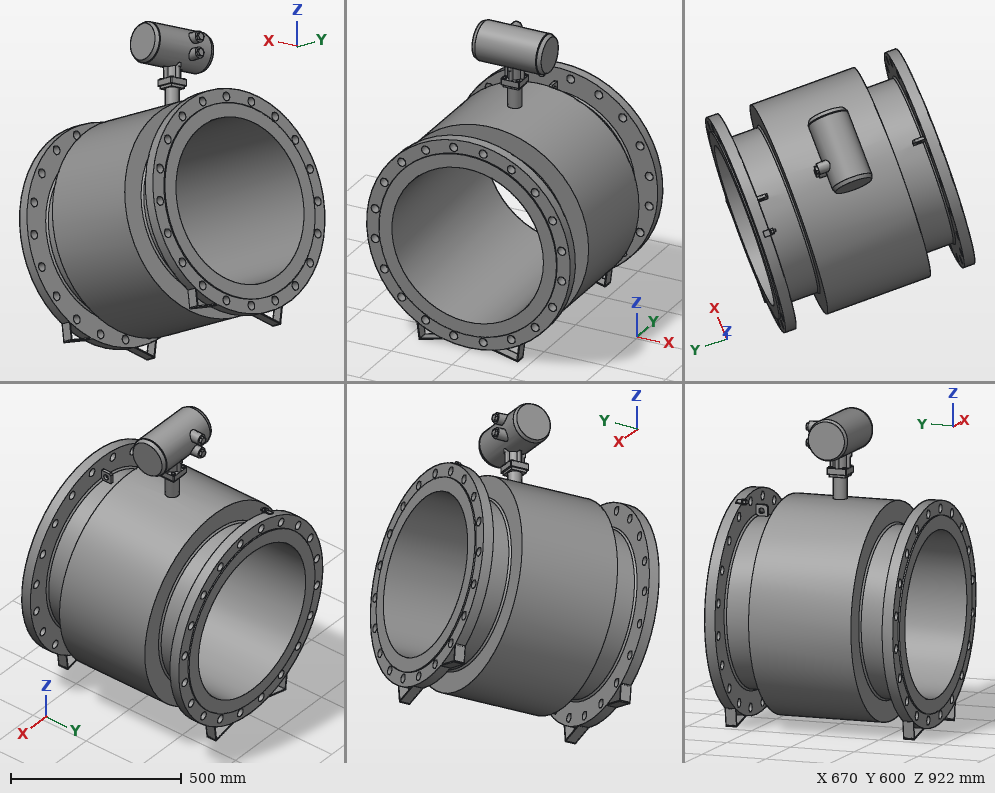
import cadquery as cq
import math


bore_diameter = 499.0
neck_diameter = 514.0
casing_diameter = 652.0
casing_length = 321.0
flange_diameter = 670.0
flange_thickness = 33.0
raised_face_diameter = 585.0
raised_face_height = 5.0
overall_length = 600.0
weld_leg = 5.5

bolt_count = 20
bolt_hole_diameter = 26.0
bolt_circle_diameter = 621.0

flange_outer_y = overall_length / 2 - raised_face_height
flange_inner_y = flange_outer_y - flange_thickness
flange_radius = flange_diameter / 2
neck_radius = neck_diameter / 2

lug_length = 35.0
lug_top_z = 290.0
lug_thickness = 9.0
lug_chamfer = 5.5
lug_hole_diameter = 17.0
lug_hole_offset = 17.0
lug_hole_z = 272.0

foot_thickness = 4.0
foot_wall_top = (170.0, -288.0)
foot_corner = (162.0, -345.0)
foot_base_end = (81.0, -325.5)

post_diameter = 42.0
post_embedment = 9.0
collar_width = 51.0
collar_bottom_z = 392.0
plate_width = 62.0
plate_bottom_z = 400.0
plate_top_z = 419.0
plate_corner_chamfer = 3.0
plate_screw_offset = 22.0
plate_screw_diameter = 11.0
plate_screw_height = 3.0
rib_thickness = 9.0
rib_edge_radius = 3.0
rib_flare_z = 446.0
rib_flare = 5.0
rib_flare_height = 6.0
rib_top_z = 470.0

housing_z = 515.0
housing_radius = 62.0
housing_left_x = -112.0
left_cone_end_x = -100.0
right_cone_start_x = 103.0
right_cone_end_x = 112.0
housing_right_x = 115.0
left_face_radius = 113.0 / 2
right_shoulder_radius = 57.0
right_face_radius = 110.0 / 2
groove_width = 3.0
groove_depth = 1.0

gland_x = -34.0
gland_spacing = 48.0
gland_end_y = 82.0
gland_end_diameter = 33.0
gland_root_diameter = 39.0
plug_across_corners = 23.0
plug_length = 8.0

terminal_angle = 19.8
terminal_radius = 336.5
terminal_tab_width = 18.0
terminal_tab_thickness = 4.0
terminal_tab_length = 18.0
terminal_washer_diameter = 18.0
terminal_washer_thickness = 4.0
terminal_nut_across_corners = 17.0
terminal_nut_length = 8.0
terminal_stud_diameter = 8.0
terminal_stud_length = 18.0


def cylinder_y(diameter, start_y, end_y, z):
    """Cylinder along Y between two Y positions."""
    length = end_y - start_y
    return cq.Workplane("XZ", origin=(0, start_y, z)).circle(diameter / 2).extrude(-length)


def box_between(width, bottom_z, top_z):
    """Square column centred on the Z axis."""
    return cq.Workplane("XY", origin=(0, 0, bottom_z)).rect(width, width).extrude(top_z - bottom_z)


def both_ends(shape):
    return shape.union(shape.mirror("XZ"))


def strip(start, end):
    """Flat strip as wide as the flange, its outer face running from start to end in XZ.

    The thickness lies to the right of the run as seen from -Y, which is the side of the pipe.
    """
    run_x = end[0] - start[0]
    run_z = end[1] - start[1]
    scale = foot_thickness / math.hypot(run_x, run_z)
    inward = (run_z * scale, -run_x * scale)
    outline = [
        start,
        end,
        (end[0] + inward[0], end[1] + inward[1]),
        (start[0] + inward[0], start[1] + inward[1]),
    ]
    return cq.Workplane("XZ").polyline(outline).close().extrude(flange_thickness / 2, both=True)


def make_meter_body():
    """Full wall section turned about the Y axis; the front half mirrors the back half."""
    casing_end_y = casing_length / 2
    back_half = [
        (casing_diameter / 2, casing_end_y),
        (neck_radius + weld_leg, casing_end_y),
        (neck_radius, casing_end_y + weld_leg),
        (neck_radius, flange_inner_y - weld_leg),
        (neck_radius + weld_leg, flange_inner_y),
        (flange_radius, flange_inner_y),
        (flange_radius, flange_outer_y),
        (raised_face_diameter / 2, flange_outer_y),
        (raised_face_diameter / 2, overall_length / 2),
        (bore_diameter / 2, overall_length / 2),
    ]
    front_half = [(radius, -y) for radius, y in reversed(back_half)]
    wall = cq.Workplane("XY").polyline(back_half + front_half).close()
    return wall.revolve(360, (0, 0, 0), (0, 1, 0))


def make_bolt_holes():
    pitch = 360 / bolt_count
    holes = (
        cq.Workplane("XZ", origin=(0, flange_outer_y, 0))
        .polarArray(bolt_circle_diameter / 2, pitch / 2, 360, bolt_count)
        .circle(bolt_hole_diameter / 2)
        .extrude(flange_thickness)
    )
    return both_ends(holes)


def make_lugs():
    root_z = (bore_diameter + neck_diameter) / 4
    free_y = flange_inner_y - lug_length
    lug = (
        cq.Workplane("YZ")
        .moveTo(flange_inner_y, root_z)
        .lineTo(flange_inner_y, lug_top_z)
        .lineTo(free_y + lug_chamfer, lug_top_z)
        .lineTo(free_y, lug_top_z - lug_chamfer)
        .lineTo(free_y, root_z)
        .close()
        .extrude(lug_thickness / 2, both=True)
    )
    hole = (
        cq.Workplane("YZ", origin=(0, flange_inner_y - lug_hole_offset, lug_hole_z))
        .circle(lug_hole_diameter / 2)
        .extrude(lug_thickness, both=True)
    )
    return both_ends(lug.cut(hole))


def make_feet():
    """Two bent strips under each flange, with both ends running into its rim."""
    depth_y = flange_outer_y - flange_thickness / 2
    foot = strip(foot_wall_top, foot_corner).union(strip(foot_corner, foot_base_end))
    foot = foot.translate((0, depth_y, 0))
    return both_ends(foot.union(foot.mirror("YZ")))


def make_rib():
    """Rib on the +X side, rounded along its outer edge and flaring out under the housing."""
    foot_x = plate_width / 2
    rib = (
        cq.Workplane("XZ")
        .moveTo(0, plate_bottom_z)
        .lineTo(foot_x, plate_bottom_z)
        .lineTo(foot_x, rib_flare_z)
        .tangentArcPoint((foot_x + rib_flare, rib_flare_z + rib_flare_height), relative=False)
        .lineTo(foot_x + rib_flare, rib_top_z)
        .lineTo(0, rib_top_z)
        .close()
        .extrude(rib_thickness / 2, both=True)
    )
    outer_edges = rib.edges("|Z and (not <X)")
    return outer_edges.fillet(rib_edge_radius)


def make_plate_screw():
    return (
        cq.Workplane("XY", origin=(plate_screw_offset, plate_screw_offset, plate_top_z))
        .circle(plate_screw_diameter / 2)
        .extrude(plate_screw_height)
    )


def make_bracket():
    """Post, collar, square plate and four ribs carrying the housing."""
    post_bottom_z = casing_diameter / 2 - post_embedment
    post = (
        cq.Workplane("XY", origin=(0, 0, post_bottom_z))
        .circle(post_diameter / 2)
        .extrude(housing_z - post_bottom_z)
    )
    collar = box_between(collar_width, collar_bottom_z, plate_bottom_z)
    plate = box_between(plate_width, plate_bottom_z, plate_top_z)
    plate = plate.edges("|Z").chamfer(plate_corner_chamfer)
    bracket = post.union(collar).union(plate)
    for quarter in range(4):
        turn = 90 * quarter
        bracket = bracket.union(make_rib().rotate((0, 0, 0), (0, 0, 1), turn))
        bracket = bracket.union(make_plate_screw().rotate((0, 0, 0), (0, 0, 1), turn))
    return bracket


def make_housing():
    groove_end_x = right_cone_start_x
    groove_start_x = groove_end_x - groove_width
    groove_radius = housing_radius - groove_depth
    return (
        cq.Workplane("XY")
        .moveTo(housing_left_x, 0)
        .lineTo(housing_left_x, left_face_radius)
        .lineTo(left_cone_end_x, housing_radius)
        .lineTo(groove_start_x, housing_radius)
        .lineTo(groove_start_x, groove_radius)
        .lineTo(groove_end_x, groove_radius)
        .lineTo(groove_end_x, housing_radius)
        .lineTo(right_cone_end_x, right_shoulder_radius)
        .lineTo(housing_right_x, right_face_radius)
        .lineTo(housing_right_x, 0)
        .close()
        .revolve(360, (0, 0, 0), (1, 0, 0))
        .translate((0, 0, housing_z))
    )


def make_glands():
    """Two tapered cable entries, each closed by a hexagonal plug."""
    glands = cq.Workplane("XY")
    for side in (-1, 1):
        z = housing_z + side * gland_spacing / 2
        cone = (
            cq.Workplane("XZ", origin=(gland_x, 0, z))
            .circle(gland_root_diameter / 2)
            .workplane(offset=-gland_end_y)
            .circle(gland_end_diameter / 2)
            .loft()
        )
        plug = (
            cq.Workplane("XZ", origin=(gland_x, gland_end_y, z))
            .polygon(6, plug_across_corners)
            .extrude(-plug_length)
        )
        glands = glands.union(cone).union(plug)
    return glands


def make_earth_terminal():
    """Tab on the flange rim with washer, nut and stud before it, built at the top and swung round."""
    washer_y = flange_inner_y - terminal_washer_thickness
    stud_y = flange_inner_y - terminal_stud_length
    tab = cq.Workplane("XY").box(terminal_tab_width, terminal_tab_length, terminal_tab_thickness)
    tab = tab.translate((0, flange_inner_y + terminal_tab_length / 2, terminal_radius))
    washer = cylinder_y(terminal_washer_diameter, washer_y, flange_inner_y, terminal_radius)
    nut = (
        cq.Workplane("XZ", origin=(0, washer_y, terminal_radius))
        .polygon(6, terminal_nut_across_corners)
        .extrude(terminal_nut_length)
    )
    stud = cylinder_y(terminal_stud_diameter, stud_y, flange_inner_y, terminal_radius)
    terminal = tab.union(washer).union(nut).union(stud)
    return terminal.rotate((0, 0, 0), (0, 1, 0), -terminal_angle)


result = (
    make_meter_body()
    .cut(make_bolt_holes())
    .union(make_lugs())
    .union(make_feet())
    .union(make_bracket())
    .union(make_housing())
    .union(make_glands())
    .union(make_earth_terminal())
)